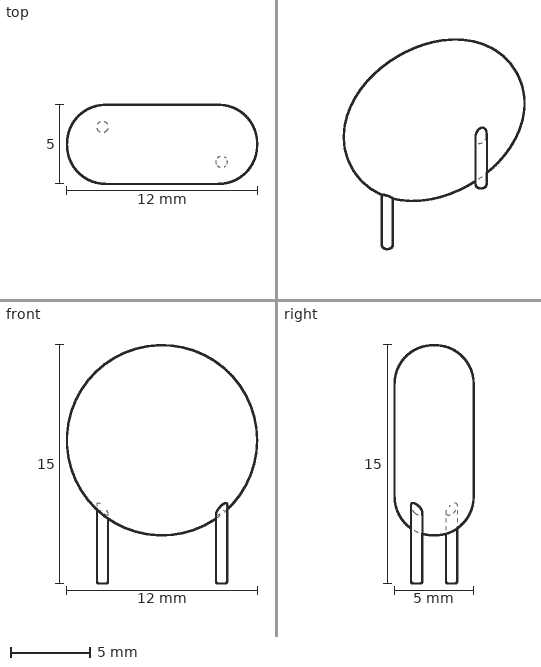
import cadquery as cq

disc_diameter = 12.0
disc_thickness = 5.0
rim_band_width = 0.122
edge_radius = (disc_thickness - rim_band_width) / 2

lead_diameter = 0.72
lead_pitch_x = 7.5
lead_pitch_y = 2.2
lead_tip_radius = lead_diameter / 5
total_height = 15.03
lead_tip_z = disc_diameter / 2 - total_height
lead_top_z = -disc_diameter / 4


def make_disc():
    """Round disc with both edges rounded almost to a full half circle."""
    disc = cq.Workplane("XZ").circle(disc_diameter / 2).extrude(disc_thickness / 2, both=True)
    return disc.edges("%CIRCLE").fillet(edge_radius)


def make_lead(x, y):
    """Vertical wire with a rounded tip, running up into the disc."""
    lead = (
        cq.Workplane("XY", origin=(x, y, lead_tip_z))
        .circle(lead_diameter / 2)
        .extrude(lead_top_z - lead_tip_z)
    )
    return lead.faces("<Z").edges().fillet(lead_tip_radius)


result = make_disc()
for side in (-1, 1):
    result = result.union(make_lead(side * lead_pitch_x / 2, -side * lead_pitch_y / 2))